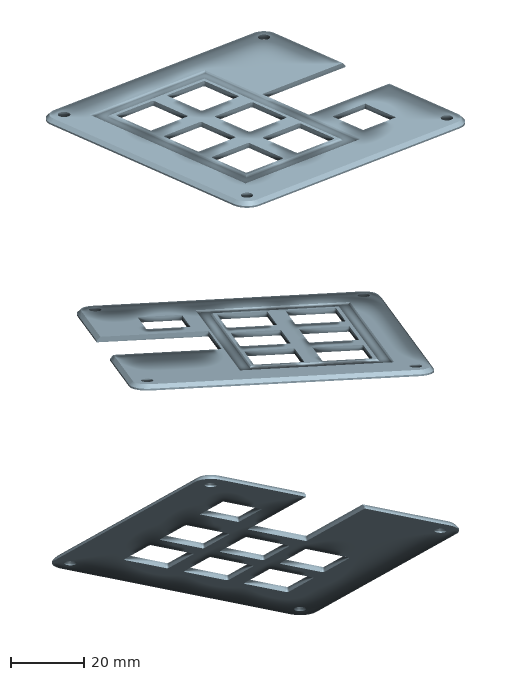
import cadquery as cq

plate_width = 82.9
plate_length = 84.6
plate_thickness = 1.5
corner_radius = 5.0
edge_chamfer = 1.0

mount_hole_diameter = 3.4
mount_spacing_x = plate_width - 2 * corner_radius
mount_spacing_y = plate_length - 2 * corner_radius

notch_width = 18.6
notch_center_x = -0.1
notch_floor_y = 11.25

square_size = 12.3
square_center = (20.6, 21.3)

key_center = (-0.5, -10.8)
key_size = 14.05
key_pitch = 19.0
key_columns = 3
key_rows = 2
key_corner_radius = 0.5

groove_depth = 0.5
groove_outer_length = 62.0
groove_outer_width = 42.9
groove_floor_width = 2.9
inner_foot_inset = groove_floor_width + groove_depth


def make_plate():
    plate = cq.Workplane("XY").rect(plate_width, plate_length).extrude(plate_thickness)
    plate = plate.edges("|Z").fillet(corner_radius)
    return plate.faces(">Z").edges().chamfer(edge_chamfer)


def through_box(width, length, center):
    """Rectangular cutter that passes through the plate."""
    return cq.Workplane("XY").center(*center).rect(width, length).extrude(plate_thickness)


def make_mount_holes():
    corners = cq.Workplane("XY").rect(mount_spacing_x, mount_spacing_y, forConstruction=True)
    return corners.vertices().circle(mount_hole_diameter / 2).extrude(plate_thickness)


def make_notch():
    notch_length = plate_length / 2 - notch_floor_y
    return through_box(notch_width, notch_length, (notch_center_x, notch_floor_y + notch_length / 2))


def make_key_openings():
    grid = cq.Workplane("XY").center(*key_center)
    grid = grid.rarray(key_pitch, key_pitch, key_columns, key_rows)
    openings = grid.rect(key_size, key_size).extrude(plate_thickness)
    return openings.edges("|Z").fillet(key_corner_radius)


def sloped_block(bottom_inset, top_inset):
    """Block of the groove depth, inset from the outer edge of the groove by different amounts."""
    floor = cq.Workplane("XY").workplane(offset=plate_thickness - groove_depth).center(*key_center)
    bottom = floor.rect(groove_outer_length - 2 * bottom_inset, groove_outer_width - 2 * bottom_inset)
    top = bottom.workplane(offset=groove_depth).rect(
        groove_outer_length - 2 * top_inset, groove_outer_width - 2 * top_inset
    )
    return top.loft(ruled=True)


def make_groove():
    outer_block = sloped_block(groove_depth, 0)
    inner_island = sloped_block(inner_foot_inset, inner_foot_inset + groove_depth)
    return outer_block.cut(inner_island)


result = (
    make_plate()
    .cut(make_groove())
    .cut(make_mount_holes())
    .cut(make_notch())
    .cut(through_box(square_size, square_size, square_center))
    .cut(make_key_openings())
)